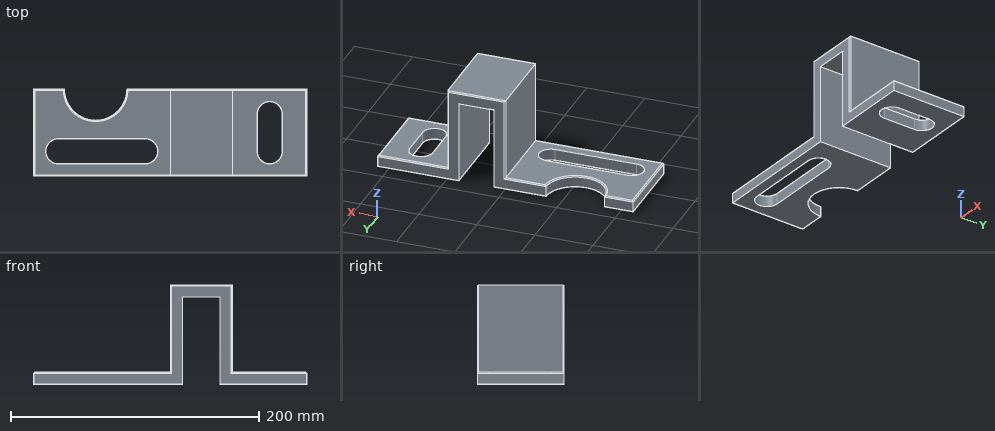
import cadquery as cq

length = 220.0
width = 70.0
height = 80.0
thickness = 10.0

left_foot_length = 110.0
channel_width = 50.0
channel_left = left_foot_length
channel_right = channel_left + channel_width

notch_radius = 25.0
notch_center_x = 50.0

slot_width = 20.0
slot_margin = 10.0
long_slot_length = 90.0
short_slot_length = 50.0
short_slot_center_x = 190.0

edge_chamfer = 1.0
tolerance = 0.002


def make_bracket():
    """Strip folded up into a channel, extruded from front (y = 0) to back."""
    outline = [
        (0, 0),
        (channel_left + thickness, 0),
        (channel_left + thickness, height - thickness),
        (channel_right - thickness, height - thickness),
        (channel_right - thickness, 0),
        (length, 0),
        (length, thickness),
        (channel_right, thickness),
        (channel_right, height),
        (channel_left, height),
        (channel_left, thickness),
        (0, thickness),
    ]
    return cq.Workplane("XZ").polyline(outline).close().extrude(-width)


def make_notch():
    return cq.Workplane("XY").center(notch_center_x, width).circle(notch_radius).extrude(thickness)


def make_slot(center_x, center_y, slot_length, angle):
    return (
        cq.Workplane("XY")
        .center(center_x, center_y)
        .slot2D(slot_length, slot_width, angle)
        .extrude(thickness)
    )


def is_upper_rim(edge):
    """True for the border of the upper skin, but not for its fold lines."""
    box = edge.BoundingBox()

    def flat_at(low, high, place):
        return abs(low - place) < tolerance and abs(high - place) < tolerance

    on_foot_or_roof = any(flat_at(box.zmin, box.zmax, level) for level in (thickness, height))
    on_channel_side = any(flat_at(box.xmin, box.xmax, side) for side in (channel_left, channel_right))
    return on_foot_or_roof != on_channel_side


def chamfer_upper_rim(body):
    return body.edges().filter(is_upper_rim).chamfer(edge_chamfer)


result = chamfer_upper_rim(make_bracket().cut(make_notch()))

long_slot = make_slot(
    slot_margin + long_slot_length / 2, slot_margin + slot_width / 2, long_slot_length, 0
)
short_slot = make_slot(short_slot_center_x, slot_margin + short_slot_length / 2, short_slot_length, 90)
result = result.cut(long_slot).cut(short_slot)